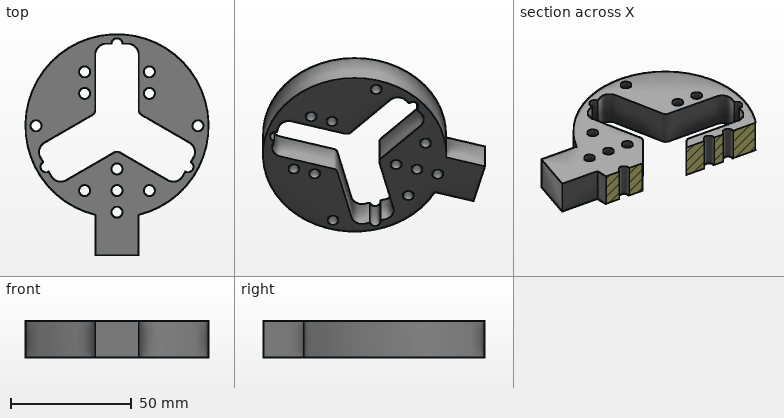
import cadquery as cq
import math

hole_pitch = 8.915
thickness = 15.16
disc_radius = 37.88
handle_reach = 53.48

arm_count = 3
arm_width = 2 * hole_pitch
arm_length = 33.87
arm_corner_radius = hole_pitch / 2
inner_corner_radius = 2.5


handle_width = arm_width
hole_diameter = hole_pitch / 2
notch_radius = hole_diameter / 2
side_hole_x = 3.75 * hole_pitch
column_x = 1.5 * hole_pitch
upper_row_y = 2.5 * hole_pitch
lower_row_y = 1.5 * hole_pitch
handle_row_y = -3 * hole_pitch
hole_positions = [
    (-side_hole_x, 0),
    (side_hole_x, 0),
    (-column_x, upper_row_y),
    (column_x, upper_row_y),
    (-column_x, lower_row_y),
    (column_x, lower_row_y),
    (-column_x, handle_row_y),
    (0, handle_row_y),
    (column_x, handle_row_y),
    (0, handle_row_y + hole_pitch),
    (0, handle_row_y - hole_pitch),
]


def make_body():
    """Round disc with a rectangular handle reaching out along -Y."""
    disc = cq.Workplane("XY").circle(disc_radius).extrude(thickness)
    handle = (
        cq.Workplane("XY")
        .center(0, -handle_reach / 2)
        .rect(handle_width, handle_reach)
        .extrude(thickness)
    )
    return disc.union(handle)


def make_arm(angle):
    """Straight window arm with rounded outer corners, turned about the disc centre."""
    arm = (
        cq.Workplane("XY")
        .center(0, arm_length / 2)
        .rect(arm_width, arm_length)
        .extrude(thickness)
        .edges("|Z and >Y")
        .fillet(arm_corner_radius)
    )
    return arm.rotate((0, 0, 0), (0, 0, 1), angle)


def make_notch(angle):
    """Round notch centred on the end wall of an arm."""
    notch = cq.Workplane("XY").center(0, arm_length).circle(notch_radius).extrude(thickness)
    return notch.rotate((0, 0, 0), (0, 0, 1), angle)


def make_window():
    """Cutter for the three-armed window, with rounded corners where arms meet."""
    arm_angles = [index * 360 / arm_count for index in range(arm_count)]

    hub_diameter = arm_width / math.sin(math.pi / arm_count)
    window = (
        cq.Workplane("XY")
        .polygon(arm_count, hub_diameter)
        .extrude(thickness)
        .rotate((0, 0, 0), (0, 0, 1), -90)
    )
    for angle in arm_angles:
        window = window.union(make_arm(angle))
    window = window.clean()

    meeting_zone = cq.selectors.BoxSelector(
        (-arm_width, -arm_width, 0),
        (arm_width, arm_width, thickness),
    )
    window = window.edges("|Z").edges(meeting_zone).fillet(inner_corner_radius)

    for angle in arm_angles:
        window = window.union(make_notch(angle))
    return window


def make_holes():
    """Cutters for the round through holes."""
    return cq.Workplane("XY").pushPoints(hole_positions).circle(hole_diameter / 2).extrude(thickness)


result = make_body().cut(make_window()).cut(make_holes())